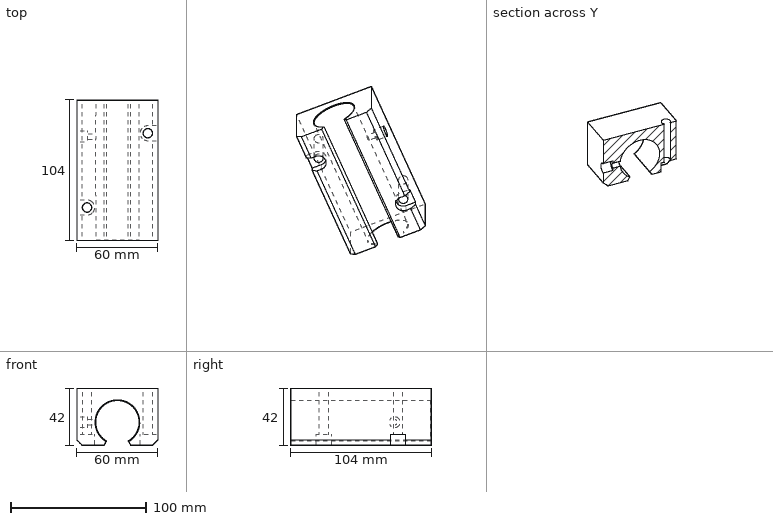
import cadquery as cq
import math

width = 60.0
length = 104.0
height = 42.0
corner_chamfer = 4.0

bore_diameter = 32.0
bore_height = 17.1
bore_chamfer = 0.5
opening_angle = 60.0

bolt_diameter = 6.8
bolt_x = 22.5
bolt_y = 27.5
seat_width = 11.2
seat_depth = 8.0

lube_diameter = 4.0
lube_recess_diameter = 8.0
lube_recess_depth = 8.0
lube_y = 25.0

bottom = -height / 2
bore_z = bottom + bore_height
bore_radius = bore_diameter / 2


def housing_block():
    block = cq.Workplane("XY").box(width, length, height)
    return block.faces("<Z").edges("|Y").chamfer(corner_chamfer)


def bore_end_cone(end):
    """Lead-in chamfer of the bore at the +Y (end = 1) or -Y (end = -1) face."""
    cone = cq.Solid.makeCone(
        bore_radius + bore_chamfer,
        bore_radius,
        bore_chamfer,
        cq.Vector(0, end * length / 2, bore_z),
        cq.Vector(0, -end, 0),
    )
    return cq.Workplane(cone)


def bore():
    cylinder = cq.Workplane("XZ").center(0, bore_z).circle(bore_radius).extrude(length / 2, both=True)
    return cylinder.union(bore_end_cone(1)).union(bore_end_cone(-1))


def bottom_opening():
    """Wedge with its apex on the bore axis, so its flanks are radial."""
    half_width = bore_height * math.tan(math.radians(opening_angle / 2))
    outline = [(0, bore_z), (half_width, bottom), (-half_width, bottom)]
    return cq.Workplane("XZ").polyline(outline).close().extrude(length / 2, both=True)


def bolt_hole_with_seat(side):
    """Through hole with a U-shaped head seat running out of the +X (1) or -X (-1) side."""
    x = side * bolt_x
    y = side * bolt_y
    run_out = width / 2 - bolt_x
    base = cq.Workplane("XY", origin=(x, y, bottom))
    hole = base.circle(bolt_diameter / 2).extrude(height)
    round_end = base.circle(seat_width / 2).extrude(seat_depth)
    open_end = base.center(side * run_out / 2, 0).rect(run_out, seat_width).extrude(seat_depth)
    return hole.union(round_end).union(open_end)


def lube_hole():
    """Recessed lubrication port from the -X side into the bore."""
    side_face = cq.Workplane("YZ", origin=(-width / 2, lube_y, bore_z))
    passage = side_face.circle(lube_diameter / 2).extrude(width / 2)
    recess = side_face.circle(lube_recess_diameter / 2).extrude(lube_recess_depth)
    return passage.union(recess)


result = housing_block().cut(bore()).cut(bottom_opening()).cut(lube_hole())
for side in (-1, 1):
    result = result.cut(bolt_hole_with_seat(side))